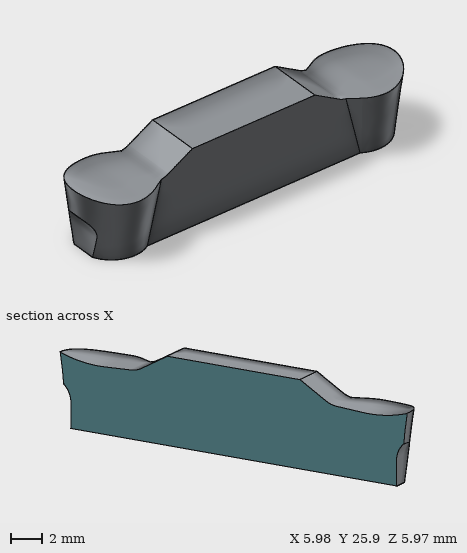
import cadquery as cq
import math

length = 25.85
height = 5.97
body_width = 4.13
half_length = length / 2

top_half_length = 4.94
ramp_angle = math.radians(30)
ramp_end = 6.87
seat_start = 7.62
seat_fall_angle = math.radians(3)
rake_start = 9.55
tip_height = 5.0

head_tip_radius = 3.05
relief_angle = math.radians(7)
neck_angle = math.radians(30)
head_center = half_length - head_tip_radius
head_base_radius = head_tip_radius - tip_height * math.tan(relief_angle)

notch_face = 12.12
notch_flat_height = 1.7
notch_radius = 1.58


def top_profile():
    """Closed half profile in the YZ plane, from the middle to a tip."""
    ramp_end_height = height - (ramp_end - top_half_length) * math.tan(ramp_angle)
    blend_chord_angle = (ramp_angle + seat_fall_angle) / 2
    seat_height = ramp_end_height - (seat_start - ramp_end) * math.tan(blend_chord_angle)
    rake_start_height = seat_height - (rake_start - seat_start) * math.tan(seat_fall_angle)
    return (
        cq.Workplane("YZ")
        .lineTo(0, height)
        .lineTo(top_half_length, height)
        .lineTo(ramp_end, ramp_end_height)
        .tangentArcPoint((seat_start, seat_height), relative=False)
        .lineTo(rake_start, rake_start_height)
        .tangentArcPoint((half_length, tip_height), relative=False)
        .lineTo(half_length, 0)
        .close()
    )


def head_outline(plane, radius):
    """Circle about the head center with two tangents meeting towards the middle."""
    tangent_x = radius * math.cos(neck_angle)
    tangent_y = head_center - radius * math.sin(neck_angle)
    apex_y = head_center - radius / math.sin(neck_angle)
    return (
        plane.moveTo(0, apex_y)
        .lineTo(tangent_x, tangent_y)
        .threePointArc((0, head_center + radius), (-tangent_x, tangent_y))
        .close()
    )


def drafted_head():
    base = head_outline(cq.Workplane("XY"), head_base_radius)
    top = head_outline(base.workplane(offset=tip_height), head_tip_radius)
    return top.loft(ruled=True, combine=True)


def tip_notch():
    """Flat vertical face running tangentially into a concave runout."""
    arc_center_y = notch_face + notch_radius
    arc_mid_offset = notch_radius * math.sqrt(0.5)
    return (
        cq.Workplane("YZ")
        .moveTo(notch_face, 0)
        .lineTo(notch_face, notch_flat_height)
        .threePointArc(
            (arc_center_y - arc_mid_offset, notch_flat_height + arc_mid_offset),
            (arc_center_y, notch_flat_height + notch_radius),
        )
        .lineTo(arc_center_y, 0)
        .close()
        .extrude(head_tip_radius, both=True)
    )


body_half = cq.Workplane("XY").box(body_width, head_center, height, centered=(True, False, False))
envelope = top_profile().extrude(head_tip_radius, both=True)
half = body_half.union(drafted_head()).intersect(envelope).cut(tip_notch())

result = half.union(half.mirror("XZ")).clean()